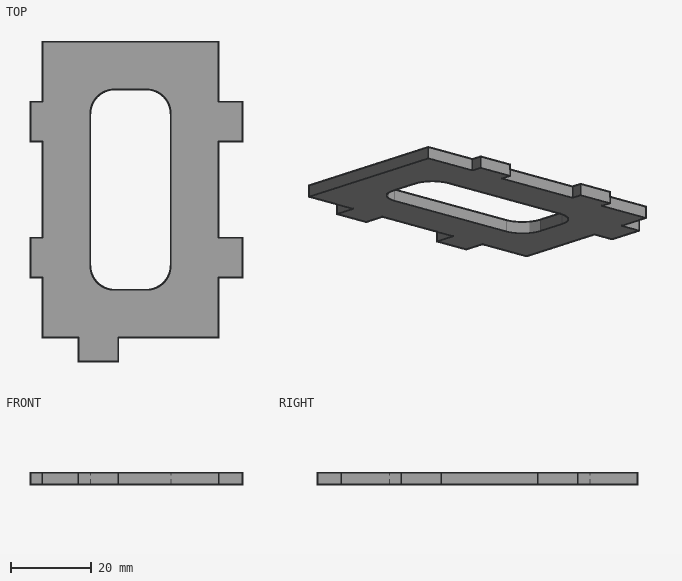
import cadquery as cq

thickness = 3.0
body_width = 44.0
body_length = 74.0

tab_width = 10.0
left_tab_reach = 3.0
right_tab_reach = 6.0
end_tab_reach = 6.0
side_tab_end_margin = 15.0
end_tab_offset = 9.0

window_border = 12.0
window_width = body_width - 2 * window_border
window_length = body_length - 2 * window_border
window_corner_radius = 6.0


def block(x, y, width, length):
    """Slab of plate thickness with its lower left corner at (x, y)."""
    return cq.Workplane("XY").box(width, length, thickness, centered=False).translate((x, y, 0))


def make_window():
    """Rounded cutter for the central opening."""
    cutter = block(window_border, window_border, window_width, window_length)
    return cutter.edges("|Z").fillet(window_corner_radius)


plate = block(0, 0, body_width, body_length)

bar_width = left_tab_reach + body_width + right_tab_reach
lower_tab_y = side_tab_end_margin
upper_tab_y = body_length - side_tab_end_margin - tab_width
for tab_y in (lower_tab_y, upper_tab_y):
    plate = plate.union(block(-left_tab_reach, tab_y, bar_width, tab_width))

plate = plate.union(block(end_tab_offset, -end_tab_reach, tab_width, end_tab_reach))

result = plate.cut(make_window()).clean()